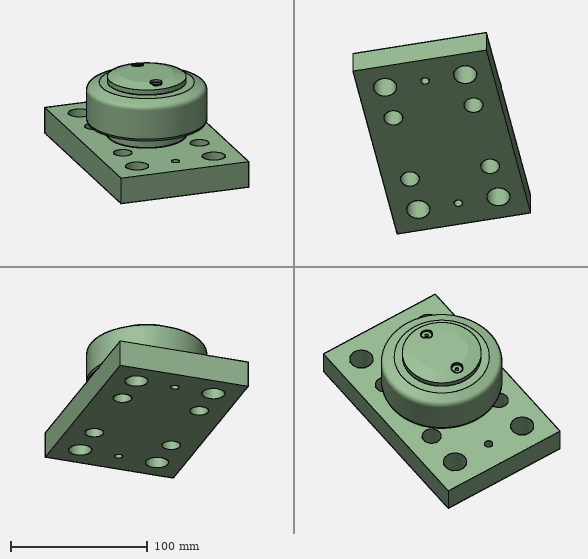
import cadquery as cq
import math

plate_length = 160
plate_width = 100.0
plate_thickness = 20.0
outer_hole_diameter = 17.0
inner_hole_diameter = 13.8
pin_hole_diameter = 6.0
outer_hole_x = 60.0
inner_hole_x = outer_hole_x / 2
hole_row_y = 30.0

neck_radius = 59.0 / 2
neck_relief_radius = 58.0 / 2
neck_lower_relief = 0.5
neck_top = 29.8

roller_radius = 88.5 / 2
roller_bottom = 31.0
roller_top = 61.0
roller_flat_radius = 34.9
roller_cone_angle = 20
roller_fillet = 4.0
lower_bevel_height = 1.6
lower_bevel_width = 0.6

cap_radius = 58.0 / 2
cap_gap_radius = 55.5 / 2
cap_bottom = 61.6
cap_shoulder = 65.5
cap_top = 68.0
cap_flat_radius = 19.5

recess_diameter = 8.6
screw_diameter = 7.8
screw_x = cap_flat_radius
recess_depth = 2.0
screw_rim_depth = 0.5
socket_diameter = 2.5
socket_depth = 0.8


def drill(body, points, diameter, bottom, top):
    """Cut vertical round holes between two heights."""
    cutter = (
        cq.Workplane("XY", origin=(0, 0, bottom))
        .pushPoints(points)
        .circle(diameter / 2)
        .extrude(top - bottom)
    )
    return body.cut(cutter)


def make_plate():
    plate = cq.Workplane("XY").box(
        plate_length, plate_width, plate_thickness, centered=(True, True, False)
    )
    for x, diameter in ((outer_hole_x, outer_hole_diameter), (inner_hole_x, inner_hole_diameter)):
        corners = [(sx * x, sy * hole_row_y) for sx in (-1, 1) for sy in (-1, 1)]
        plate = drill(plate, corners, diameter, 0, plate_thickness)
    pin_points = [(-outer_hole_x, 0), (outer_hole_x, 0)]
    return drill(plate, pin_points, pin_hole_diameter, 0, plate_thickness)


def make_turned_body():
    """Revolve the neck, roller and cap as one profile about Z."""
    slope = math.radians(roller_cone_angle)
    fillet_center_r = roller_radius - roller_fillet
    cone_end_r = fillet_center_r + roller_fillet * math.sin(slope)
    cone_end_z = roller_top - (cone_end_r - roller_flat_radius) * math.tan(slope)
    fillet_center_z = cone_end_z - roller_fillet * math.cos(slope)
    mid_angle = (math.pi / 2 - slope) / 2
    fillet_middle = (
        fillet_center_r + roller_fillet * math.cos(mid_angle),
        fillet_center_z + roller_fillet * math.sin(mid_angle),
    )

    profile = (
        cq.Workplane("XZ")
        .moveTo(0, plate_thickness)
        .lineTo(neck_relief_radius, plate_thickness)
        .lineTo(neck_relief_radius, plate_thickness + neck_lower_relief)
        .lineTo(neck_radius, plate_thickness + neck_lower_relief)
        .lineTo(neck_radius, neck_top)
        .lineTo(neck_relief_radius, neck_top)
        .lineTo(neck_relief_radius, roller_bottom)
        .lineTo(roller_radius - lower_bevel_width, roller_bottom)
        .lineTo(roller_radius, roller_bottom + lower_bevel_height)
        .lineTo(roller_radius, fillet_center_z)
        .threePointArc(fillet_middle, (cone_end_r, cone_end_z))
        .lineTo(roller_flat_radius, roller_top)
        .lineTo(cap_gap_radius, roller_top)
        .lineTo(cap_gap_radius, cap_bottom)
        .lineTo(cap_radius, cap_bottom)
        .lineTo(cap_radius, cap_shoulder)
        .lineTo(cap_flat_radius, cap_top)
        .lineTo(0, cap_top)
        .close()
    )
    return profile.revolve(360, (0, 0, 0), (0, 1, 0))


def cut_screw_recesses(body):
    """Sink each screw in the cap, leaving a step around its head and a round socket."""
    points = [(-screw_x, 0), (screw_x, 0)]
    floor = cap_top - recess_depth
    body = drill(body, points, recess_diameter, floor + screw_rim_depth, cap_top)
    body = drill(body, points, screw_diameter, floor, cap_top)
    return drill(body, points, socket_diameter, floor - socket_depth, floor)


result = make_plate().union(cut_screw_recesses(make_turned_body()))